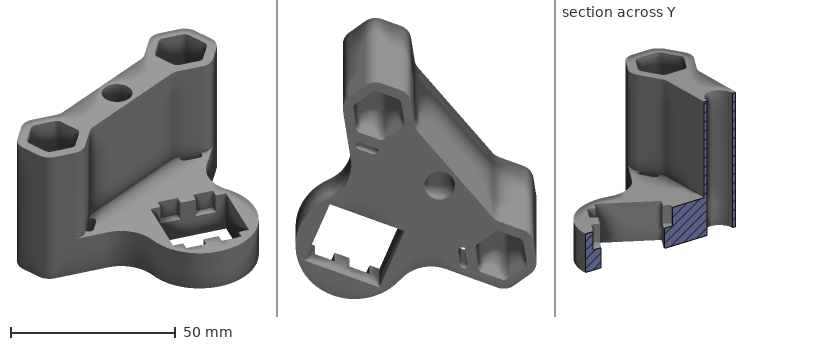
import cadquery as cq
import math

tower_height = 45.0
total_width = 81.0
hex_apothem = 10.45
wall = 3.0
corner_radius = 5.0
hex_offset = total_width / 2 - hex_apothem
web_hole_diameter = 9.4

plate_height = 13.05
head_x = 32.9
head_radius = 18.0
blend_radius = 12.0

window_width = 20.5
window_length = 24.5
window_angle = -30.0
notch_length = 6.5
notch_depth = 2.7
notch_height = 6.15
notch_pitch = 11.4

slot_width = 2.8
slot_length = 7.1
slot_distance = 11.3
slot_shift = 0.8

cos30 = math.cos(math.radians(30))
sin30 = 0.5


def hex_prism(apothem, y):
    """Full-height hexagon with two corners on its X-parallel centerline."""
    prism = cq.Workplane("XY").polygon(6, 2 * apothem / cos30).extrude(tower_height)
    return prism.translate((0, y, 0))


def make_tower():
    web_width = 2 * hex_apothem * math.tan(math.radians(30))
    tower = cq.Workplane("XY").rect(web_width, 2 * hex_offset).extrude(tower_height)
    for y in (hex_offset, -hex_offset):
        tower = tower.union(hex_prism(hex_apothem, y))
    return tower.clean().edges("|Z").fillet(corner_radius)


def make_plate():
    line_distance = hex_apothem + hex_offset * sin30 - head_x * cos30
    across = line_distance + blend_radius
    along = math.sqrt((head_radius + blend_radius) ** 2 - across ** 2)
    center_x = head_x + across * cos30 - along * sin30
    center_y = across * sin30 + along * cos30

    start = (hex_apothem * cos30, hex_offset + hex_apothem * sin30)
    line_end = (center_x - blend_radius * cos30, center_y - blend_radius * sin30)
    head_angle = math.atan2(center_y, center_x - head_x)
    head_start = (head_x + head_radius * math.cos(head_angle), head_radius * math.sin(head_angle))
    middle_angle = (math.radians(210) + head_angle + math.pi) / 2
    middle = (center_x + blend_radius * math.cos(middle_angle),
              center_y + blend_radius * math.sin(middle_angle))

    def mirrored(point):
        return (point[0], -point[1])

    return (
        cq.Workplane("XY")
        .moveTo(0, hex_offset)
        .lineTo(*start)
        .lineTo(*line_end)
        .threePointArc(middle, head_start)
        .threePointArc((head_x + head_radius, 0), mirrored(head_start))
        .threePointArc(mirrored(middle), mirrored(line_end))
        .lineTo(*mirrored(start))
        .lineTo(0, -hex_offset)
        .close()
        .extrude(plate_height)
    )


def make_window():
    window = cq.Workplane("XY").rect(window_width, window_length).extrude(plate_height)
    notches = (
        cq.Workplane("XY", origin=(0, 0, plate_height - notch_height))
        .pushPoints([(0, notch_pitch / 2), (0, -notch_pitch / 2)])
        .rect(window_width + 2 * notch_depth, notch_length)
        .extrude(notch_height)
    )
    cutter = window.union(notches)
    return cutter.rotate((0, 0, 0), (0, 0, 1), window_angle).translate((head_x, 0, 0))


def make_slots():
    slot = (
        cq.Workplane("XY")
        .center(slot_distance, -slot_shift)
        .slot2D(slot_length, slot_width, 90)
        .extrude(plate_height)
        .rotate((0, 0, 0), (0, 0, 1), -30)
        .translate((0, hex_offset, 0))
    )
    return slot.union(slot.mirror("XZ"))


plate = make_plate().cut(make_window()).cut(make_slots())
result = plate.union(make_tower())

for socket_y in (hex_offset, -hex_offset):
    socket = hex_prism(hex_apothem - wall, socket_y)
    result = result.cut(socket.edges("|Z").fillet(corner_radius - wall))

web_hole = cq.Workplane("XY").circle(web_hole_diameter / 2).extrude(tower_height)
result = result.cut(web_hole)